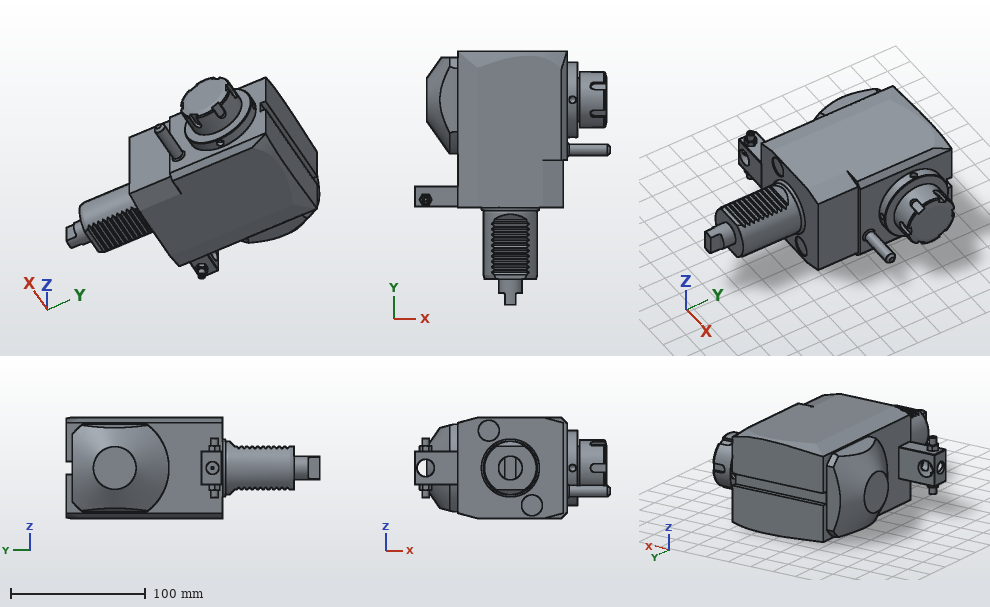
import cadquery as cq
import math


TAPER = math.tan(math.radians(15))
HOUSING_LENGTH = 116.0
HALF_HEIGHT = 37.5
LEFT_X = -38.9
UPPER_RIGHT_X = 42.2
LOWER_RIGHT_X = 39.3
LOWER_LENGTH = 35.3
FLAT_HALF_WIDTH = 24.3
CORNER_CHAMFER = 4.4
SIDE_HALF_HEIGHT = HALF_HEIGHT - TAPER * (-FLAT_HALF_WIDTH - LEFT_X)

CROWN_SLOPE = math.tan(math.radians(12.5))
CROWN_PEAK = (12.85, 36.75)
CROWN_LEFT = (-9.8, 35.9)
CROWN_RIGHT = (30.3, 35.85)
CROWN_RIGHT_END_Z = 33.3
CROWN_CUT_LENGTH = 30.0
CROWN_CUT_TOP_Z = 60.0
CROWN_OVERHANG = 10.0
END_SLOT_WIDTH = 9.5
END_SLOT_DEPTH = 4.3

RECESS_RADIUS = 7.75
RECESS_DEPTH = 1.0
RECESS_X = 16.0
RECESS_Z = 27.7

SPINDLE_Y = 80.0

COVER_RADIUS = 40.2
COVER_RIM_LENGTH = 6.1
COVER_TIP_RADIUS = 15.85
COVER_LEFT_X = -62.1
COVER_FLAT_HALF_HEIGHT = 32.6
COVER_FLAT_LENGTH = 2.9
COVER_END_Y = 111.4

COLLAR_RADIUS = 28.0
COLLAR_RIGHT_X = 50.0
COLLAR_CHAMFER = 0.5
COLLAR_HOLE_RADIUS = 2.6
COLLAR_HOLE_DEPTH = 4.0
COLLAR_HOLE_TIP_LENGTH = 1.5
COLLAR_HOLE_COUNT = 4
NECK_RADIUS = 16.3
NUT_LEFT_X = 51.4
NUT_RADIUS = 20.9
NUT_BODY_RIGHT_X = 69.2
NUT_SHOULDER_X = 70.4
NUT_SHOULDER_RADIUS = 20.2
NUT_RIGHT_X = 71.6
NUT_TIP_RADIUS = 15.5
NUT_SLOT_COUNT = 6
NUT_SLOT_WIDTH = 6.3
NUT_SLOT_LEFT_X = 59.4
NUT_SLOT_FLOOR = 18.0

PIN_Y = 42.9
PIN_Z = -17.2
PIN_RADIUS = 4.25
PIN_BASE_RADIUS = 5.3
PIN_BASE_LENGTH = 1.3
PIN_RIGHT_X = 74.14
PIN_TIP_LENGTH = 2.2
PIN_TIP_RADIUS = 2.2

FLANGE_RADIUS = 21.5
FLANGE_LENGTH = 2.1
FLANGE_ROUNDING = 1.0
SHANK_LEAD_IN_RADIUS = 19.6
SHANK_LEAD_IN_END = 3.8
SHANK_RADIUS = 20.0
SHANK_LENGTH = 53.0
SHANK_END_CHAMFER_LENGTH = 3.0
SHANK_END_CHAMFER = 0.8
SHANK_FLAT = 16.0
FLAT_RUNOUT_START = 4.9
TOOTH_PITCH = 4.0
TOOTH_COUNT = 10
FIRST_GROOVE = 12.0
GROOVE_DEPTH = 1.6

JOURNAL_RADIUS = 8.8
JOURNAL_LENGTH = 10.4
TANG_END = 72.0
TANG_THICKNESS = 8.0
TANG_FILLET = 1.2

BRACKET_LEFT_X = -71.0
BRACKET_START_Y = 0.5
BRACKET_WIDTH = 15.4
BRACKET_HEIGHT = 25.0
BRACKET_CHAMFER = 0.4
BRACKET_EMBED = 1.0
BRACKET_HOLE_X = -62.8
BRACKET_HOLE_RADIUS = 6.4
SIDE_HOLE_Y = 7.5
SIDE_HOLE_RADIUS = 4.7
SIDE_HOLE_LENGTH = 19.0
SIDE_PILOT_RADIUS = 1.0
SIDE_PILOT_LENGTH = 5.0
SCREW_Y = 6.0
SCREW_RADIUS = 2.7
SCREW_END_Z = 22.0
SCREW_SOCKET_DIAMETER = 2.9
SCREW_SOCKET_DEPTH = 2.0
SCREW_TIP_HOLE_RADIUS = 1.5
SCREW_TIP_HOLE_END_Z = 8.0
LOCKNUT_ACROSS_FLATS = 8.0
LOCKNUT_HEIGHT = 4.0
LOCKNUT_CHAMFER_LENGTH = 0.6


def cylinder_along(start, direction, radius, length):
    """Cylinder from the start point along the direction."""
    return cq.Workplane(cq.Solid.makeCylinder(radius, length, cq.Vector(*start), cq.Vector(*direction)))


def spindle_turning(points):
    """Solid turned about the spindle axis from (x, radius) points."""
    outline = [(x, SPINDLE_Y + radius) for x, radius in points]
    axis_start = (0, SPINDLE_Y)
    axis_end = (1, SPINDLE_Y)
    return cq.Workplane("XY").polyline(outline).close().revolve(360, axis_start, axis_end)


def prism_along_y(points, start_y, end_y):
    """Prism between two Y positions from (x, z) points."""
    plane = cq.Workplane(cq.Plane((0, start_y, 0), (1, 0, 0), (0, -1, 0)))
    return plane.polyline(points).close().extrude(start_y - end_y)


def make_housing():
    lower = [
        (LEFT_X, SIDE_HALF_HEIGHT),
        (-FLAT_HALF_WIDTH, HALF_HEIGHT),
        (FLAT_HALF_WIDTH, HALF_HEIGHT),
        (LOWER_RIGHT_X, HALF_HEIGHT - TAPER * (LOWER_RIGHT_X - FLAT_HALF_WIDTH)),
    ]
    upper = [
        (LEFT_X, SIDE_HALF_HEIGHT),
        (-FLAT_HALF_WIDTH, HALF_HEIGHT),
        (UPPER_RIGHT_X - CORNER_CHAMFER, HALF_HEIGHT),
        (UPPER_RIGHT_X, HALF_HEIGHT - CORNER_CHAMFER),
    ]

    def mirrored(half):
        return half + [(x, -z) for x, z in reversed(half)]

    housing = prism_along_y(mirrored(lower), 0, LOWER_LENGTH)
    housing = housing.union(prism_along_y(mirrored(upper), LOWER_LENGTH, HOUSING_LENGTH))
    crown_cut = make_crown_cut()
    housing = housing.cut(crown_cut).cut(crown_cut.mirror("XY"))
    end_slot = cq.Workplane("XY").box(
        2 * (UPPER_RIGHT_X - LEFT_X), 2 * END_SLOT_DEPTH, END_SLOT_WIDTH
    ).translate((0, HOUSING_LENGTH, 0))
    housing = housing.cut(end_slot)
    for side in (-1, 1):
        recess_center = (side * RECESS_X, 0, -side * RECESS_Z)
        housing = housing.cut(cylinder_along(recess_center, (0, 1, 0), RECESS_RADIUS, RECESS_DEPTH))
    return housing


def make_crown_cut():
    """Body above a crowned surface that rises from the far end of the housing."""
    crown = [
        (LEFT_X, SIDE_HALF_HEIGHT),
        CROWN_LEFT,
        CROWN_PEAK,
        CROWN_RIGHT,
        (UPPER_RIGHT_X, CROWN_RIGHT_END_Z),
    ]
    left = LEFT_X - CROWN_OVERHANG
    right = UPPER_RIGHT_X + CROWN_OVERHANG
    end_plane = cq.Workplane(cq.Plane((0, HOUSING_LENGTH, 0), (1, 0, 0), (0, -1, 0)))
    outline = (
        end_plane.moveTo(*crown[0])
        .spline(crown[1:], includeCurrent=True)
        .lineTo(right, CROWN_RIGHT_END_Z - CROWN_OVERHANG)
        .lineTo(right, CROWN_CUT_TOP_Z)
        .lineTo(left, CROWN_CUT_TOP_Z)
        .lineTo(left, SIDE_HALF_HEIGHT)
        .close()
        .val()
    )
    direction = cq.Vector(0, -CROWN_CUT_LENGTH, CROWN_CUT_LENGTH * CROWN_SLOPE)
    return cq.Workplane(cq.Solid.extrudeLinear(outline, [], direction))


def make_cover():
    """Conical cover trimmed by tapered flats above and below and by a flat at the far end."""
    cone = spindle_turning([
        (LEFT_X, 0),
        (LEFT_X, COVER_RADIUS),
        (LEFT_X - COVER_RIM_LENGTH, COVER_RADIUS),
        (COVER_LEFT_X, COVER_TIP_RADIUS),
        (COVER_LEFT_X, 0),
    ])
    taper_start_x = LEFT_X - COVER_FLAT_LENGTH
    tip_half_height = COVER_FLAT_HALF_HEIGHT - TAPER * (taper_start_x - COVER_LEFT_X)
    upper_outline = [
        (LEFT_X, COVER_FLAT_HALF_HEIGHT),
        (taper_start_x, COVER_FLAT_HALF_HEIGHT),
        (COVER_LEFT_X, tip_half_height),
    ]
    lower_outline = [(x, -z) for x, z in reversed(upper_outline)]
    envelope = prism_along_y(upper_outline + lower_outline, SPINDLE_Y - COVER_RADIUS, COVER_END_Y)
    return cone.intersect(envelope)


def make_spindle_nose():
    """Collar, neck and slotted clamping nut."""
    nose = spindle_turning([
        (UPPER_RIGHT_X, 0),
        (UPPER_RIGHT_X, COLLAR_RADIUS),
        (COLLAR_RIGHT_X - COLLAR_CHAMFER, COLLAR_RADIUS),
        (COLLAR_RIGHT_X, COLLAR_RADIUS - COLLAR_CHAMFER),
        (COLLAR_RIGHT_X, NECK_RADIUS),
        (NUT_LEFT_X, NECK_RADIUS),
        (NUT_LEFT_X, NUT_RADIUS),
        (NUT_BODY_RIGHT_X, NUT_RADIUS),
        (NUT_SHOULDER_X, NUT_SHOULDER_RADIUS),
        (NUT_RIGHT_X, NUT_TIP_RADIUS),
        (NUT_RIGHT_X, 0),
    ])
    spindle_start = (0, SPINDLE_Y, 0)
    spindle_end = (1, SPINDLE_Y, 0)

    hole_x = (UPPER_RIGHT_X + COLLAR_RIGHT_X) / 2
    hole_start_y = SPINDLE_Y - COLLAR_RADIUS
    hole_bottom_y = hole_start_y + COLLAR_HOLE_DEPTH
    hole_outline = [
        (hole_x, hole_start_y),
        (hole_x + COLLAR_HOLE_RADIUS, hole_start_y),
        (hole_x + COLLAR_HOLE_RADIUS, hole_bottom_y),
        (hole_x, hole_bottom_y + COLLAR_HOLE_TIP_LENGTH),
    ]
    hole = cq.Workplane("XY").polyline(hole_outline).close().revolve(360, (hole_x, 0), (hole_x, 1))
    for index in range(COLLAR_HOLE_COUNT):
        nose = nose.cut(hole.rotate(spindle_start, spindle_end, index * 360 / COLLAR_HOLE_COUNT))

    slot_length = 2 * (NUT_RIGHT_X - NUT_SLOT_LEFT_X)
    slot = (
        cq.Workplane("XZ", origin=(NUT_RIGHT_X, SPINDLE_Y - NUT_SLOT_FLOOR, 0))
        .slot2D(slot_length, NUT_SLOT_WIDTH)
        .extrude(NUT_RADIUS)
    )
    for index in range(NUT_SLOT_COUNT):
        nose = nose.cut(slot.rotate(spindle_start, spindle_end, index * 360 / NUT_SLOT_COUNT))
    return nose


def make_coolant_pin():
    outline = [
        (UPPER_RIGHT_X, 0),
        (UPPER_RIGHT_X, PIN_BASE_RADIUS),
        (UPPER_RIGHT_X + PIN_BASE_LENGTH, PIN_RADIUS),
        (PIN_RIGHT_X - PIN_TIP_LENGTH, PIN_RADIUS),
        (PIN_RIGHT_X, PIN_TIP_RADIUS),
        (PIN_RIGHT_X, 0),
    ]
    pin = cq.Workplane("XY").polyline(outline).close().revolve(360, (0, 0), (1, 0))
    return pin.translate((0, PIN_Y, PIN_Z))


def make_shank():
    """Round shank with a toothed flat above and below."""
    outline = (
        cq.Workplane("XY")
        .lineTo(FLANGE_RADIUS, 0)
        .lineTo(FLANGE_RADIUS, -FLANGE_LENGTH + FLANGE_ROUNDING)
        .radiusArc((FLANGE_RADIUS - FLANGE_ROUNDING, -FLANGE_LENGTH), FLANGE_ROUNDING)
        .lineTo(SHANK_LEAD_IN_RADIUS, -FLANGE_LENGTH)
        .lineTo(SHANK_RADIUS, -SHANK_LEAD_IN_END)
        .lineTo(SHANK_RADIUS, -SHANK_LENGTH + SHANK_END_CHAMFER_LENGTH)
        .lineTo(SHANK_RADIUS - SHANK_END_CHAMFER, -SHANK_LENGTH)
        .lineTo(0, -SHANK_LENGTH)
        .close()
    )
    shank = outline.revolve(360, (0, 0), (0, 1))
    flat_cut = make_toothed_flat_cut()
    return shank.cut(flat_cut).cut(flat_cut.mirror("XY"))


def make_toothed_flat_cut():
    """Body above the flat: a 45 degree run-out, then right-angled grooves across the shank."""
    runout = SHANK_RADIUS - SHANK_FLAT
    outline = [
        (-FLAT_RUNOUT_START, SHANK_RADIUS),
        (-FLAT_RUNOUT_START - runout, SHANK_FLAT),
    ]
    for index in range(TOOTH_COUNT):
        groove_y = -FIRST_GROOVE - index * TOOTH_PITCH
        outline += [
            (groove_y + GROOVE_DEPTH, SHANK_FLAT),
            (groove_y, SHANK_FLAT - GROOVE_DEPTH),
            (groove_y - GROOVE_DEPTH, SHANK_FLAT),
        ]
    outline += [(-SHANK_LENGTH, SHANK_FLAT), (-SHANK_LENGTH, SHANK_RADIUS)]
    return cq.Workplane("YZ").polyline(outline).close().extrude(SHANK_RADIUS, both=True)


def make_drive_tang():
    """Round journal ending in a flat tang."""
    half_thickness = TANG_THICKNESS / 2
    shoulder_y = -SHANK_LENGTH - JOURNAL_LENGTH
    journal = cylinder_along((0, -SHANK_LENGTH, 0), (0, -1, 0), JOURNAL_RADIUS, TANG_END - SHANK_LENGTH)
    side_cut = (
        cq.Workplane("XY")
        .moveTo(half_thickness, -TANG_END)
        .lineTo(half_thickness, shoulder_y - TANG_FILLET)
        .radiusArc((half_thickness + TANG_FILLET, shoulder_y), TANG_FILLET)
        .lineTo(JOURNAL_RADIUS, shoulder_y)
        .lineTo(JOURNAL_RADIUS, -TANG_END)
        .close()
        .extrude(JOURNAL_RADIUS, both=True)
    )
    return journal.cut(side_cut).cut(side_cut.mirror("YZ"))


def make_bracket():
    """Block beside the shank with crossing holes, carrying a set screw and locknut above and below."""
    length = LEFT_X + BRACKET_EMBED - BRACKET_LEFT_X
    half_height = BRACKET_HEIGHT / 2
    bracket = (
        cq.Workplane("XY")
        .box(length, BRACKET_WIDTH, BRACKET_HEIGHT, centered=(False, False, True))
        .edges("<X or |X")
        .chamfer(BRACKET_CHAMFER)
        .translate((BRACKET_LEFT_X, BRACKET_START_Y, 0))
    )
    screw = make_screw_and_locknut(half_height)
    bracket = bracket.union(screw).union(screw.mirror("XY"))

    cross_hole_start = (BRACKET_HOLE_X, BRACKET_START_Y, 0)
    bracket = bracket.cut(cylinder_along(cross_hole_start, (0, 1, 0), BRACKET_HOLE_RADIUS, BRACKET_WIDTH))
    side_hole_start = (BRACKET_LEFT_X, SIDE_HOLE_Y, 0)
    pilot_length = SIDE_HOLE_LENGTH + SIDE_PILOT_LENGTH
    bracket = bracket.cut(cylinder_along(side_hole_start, (1, 0, 0), SIDE_HOLE_RADIUS, SIDE_HOLE_LENGTH))
    bracket = bracket.cut(cylinder_along(side_hole_start, (1, 0, 0), SIDE_PILOT_RADIUS, pilot_length))
    tip_hole_start = (BRACKET_HOLE_X, SCREW_Y, -SCREW_TIP_HOLE_END_Z)
    tip_hole_length = 2 * SCREW_TIP_HOLE_END_Z
    return bracket.cut(cylinder_along(tip_hole_start, (0, 0, 1), SCREW_TIP_HOLE_RADIUS, tip_hole_length))


def make_screw_and_locknut(seat_z):
    """Hexagon locknut seated at the given height, with a socket set screw standing out of it."""
    seat = cq.Workplane("XY", origin=(BRACKET_HOLE_X, SCREW_Y, seat_z))
    corner_diameter = LOCKNUT_ACROSS_FLATS / math.cos(math.pi / 6)
    locknut = seat.polygon(6, corner_diameter).extrude(LOCKNUT_HEIGHT)
    chamfer_width = (corner_diameter - LOCKNUT_ACROSS_FLATS) / 2
    rounding = (
        seat.circle(corner_diameter / 2)
        .extrude(LOCKNUT_HEIGHT)
        .faces(">Z")
        .chamfer(LOCKNUT_CHAMFER_LENGTH, chamfer_width)
    )
    screw = seat.circle(SCREW_RADIUS).extrude(SCREW_END_Z - seat_z)
    socket = (
        seat.workplane(offset=SCREW_END_Z - seat_z - SCREW_SOCKET_DEPTH)
        .polygon(6, SCREW_SOCKET_DIAMETER)
        .extrude(SCREW_SOCKET_DEPTH)
    )
    return locknut.intersect(rounding).union(screw).cut(socket)


result = make_housing()
for component in (
    make_cover(),
    make_spindle_nose(),
    make_coolant_pin(),
    make_shank(),
    make_drive_tang(),
    make_bracket(),
):
    result = result.union(component)